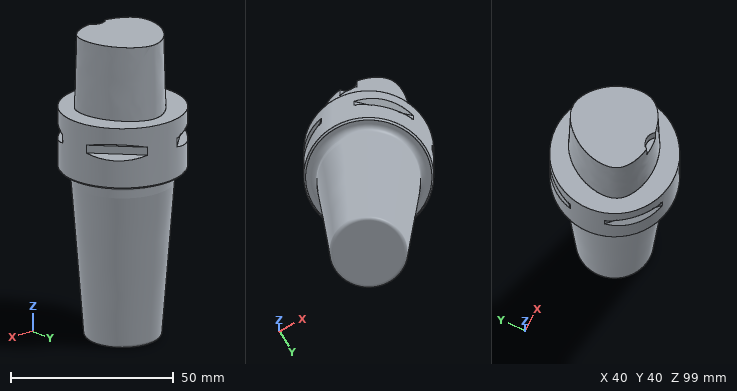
import cadquery as cq
import math

total_height = 99.0
shank_height = 24.0
flange_top = total_height - shank_height
flange_height = 20.0
flange_bottom = flange_top - flange_height

flange_radius = 20.0
flange_chamfer = 0.6
neck_radius = 15.9
neck_fillet = 2.0
neck_bottom = 50.6
nose_radius = 12.0
nose_fillet = 1.1

base_mean_radius = 14.1
top_mean_radius = 13.5
lobe_eccentricity = 0.9
profile_points = 48

groove_count = 4
groove_start_angle = 45.0
groove_floor_distance = 17.6
groove_floor_height = 2.6
groove_side_angle = 30.0
groove_mid_height = 67.1

notch_radius = 3.7
notch_inner_y = -10.8
notch_depth = 4.4


def lobed_point(angle, mean_radius):
    """Point on a constant-width three-lobed curve with one lobe along +Y."""
    e = lobe_eccentricity * mean_radius / base_mean_radius
    along = mean_radius * math.cos(angle) + 2 * e * math.cos(2 * angle) - e * math.cos(4 * angle)
    across = mean_radius * math.sin(angle) - 2 * e * math.sin(2 * angle) - e * math.sin(4 * angle)
    return (-across, along)


def lobed_outline(mean_radius):
    step = 2 * math.pi / profile_points
    return [lobed_point(i * step, mean_radius) for i in range(profile_points)]


def make_body():
    """Revolved flange, neck and nose."""
    fillet_mid = neck_fillet * (1 - math.sqrt(0.5))
    return (
        cq.Workplane("XZ")
        .moveTo(0, 0)
        .lineTo(nose_radius, 0)
        .lineTo(neck_radius, neck_bottom)
        .lineTo(neck_radius, flange_bottom - neck_fillet)
        .threePointArc(
            (neck_radius + fillet_mid, flange_bottom - fillet_mid),
            (neck_radius + neck_fillet, flange_bottom),
        )
        .lineTo(flange_radius - flange_chamfer, flange_bottom)
        .lineTo(flange_radius, flange_bottom + flange_chamfer)
        .lineTo(flange_radius, flange_top)
        .lineTo(0, flange_top)
        .close()
        .revolve(360, (0, 0, 0), (0, 1, 0))
        .faces("<Z")
        .edges()
        .fillet(nose_fillet)
    )


def make_shank():
    """Tapered three-lobed shank standing on the flange."""
    return (
        cq.Workplane("XY", origin=(0, 0, flange_top))
        .spline(lobed_outline(base_mean_radius), periodic=True)
        .close()
        .workplane(offset=shank_height)
        .spline(lobed_outline(top_mean_radius), periodic=True)
        .close()
        .loft(combine=True)
    )


def make_groove(angle):
    """Straight groove with a flat floor and sloping sides, facing the given direction."""
    depth = flange_radius - groove_floor_distance
    half_floor = groove_floor_height / 2
    half_mouth = half_floor + depth * math.tan(math.radians(groove_side_angle))
    return (
        cq.Workplane("XZ")
        .polyline([
            (groove_floor_distance, groove_mid_height - half_floor),
            (flange_radius, groove_mid_height - half_mouth),
            (flange_radius, groove_mid_height + half_mouth),
            (groove_floor_distance, groove_mid_height + half_floor),
        ])
        .close()
        .extrude(flange_radius, both=True)
        .rotate((0, 0, 0), (0, 0, 1), angle)
    )


def make_notch():
    """Round-backed notch in the -Y face, open at the top of the shank."""
    return (
        cq.Workplane("XY", origin=(0, notch_inner_y - notch_radius, total_height - notch_depth))
        .circle(notch_radius)
        .extrude(notch_depth)
    )


result = make_body().union(make_shank())
for i in range(groove_count):
    result = result.cut(make_groove(groove_start_angle + i * 360 / groove_count))
result = result.cut(make_notch())